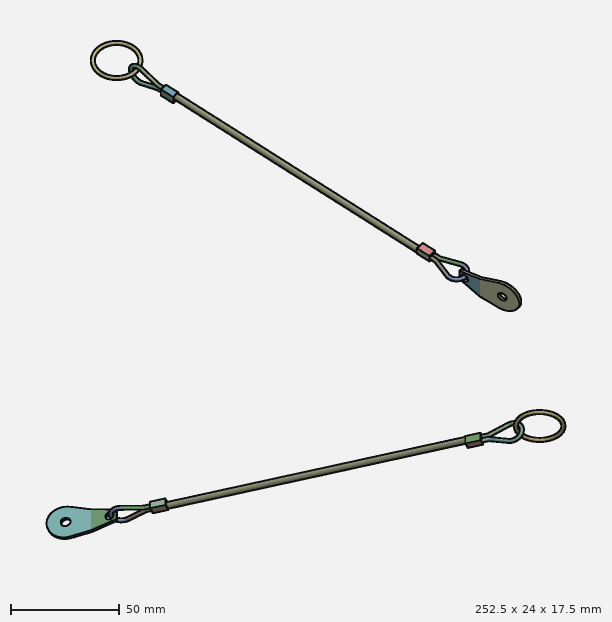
import cadquery as cq
import math


sleeve_length = 147.3
sleeve_diameter = 3.3
ferrule_length = 7.5
ferrule_width = 4.3
ferrule_thickness = 3.8
wire_diameter = 2.0
strand_offset = 1.09
eye_outer_diameter = 11.9
eye_radius = (eye_outer_diameter - wire_diameter) / 2
eye_center_x = 96.0
leg_angle = math.radians(20)
bend_radius = 2.5

ring_diameter = 24.0
ring_wire_diameter = 2.0
ring_overlap = 4.3
ring_left_x = -eye_center_x - eye_outer_diameter / 2 + ring_overlap - ring_diameter

assembly_length = 252.5
tab_start_x = 98.3
tab_bend_x = 110.6
tab_head_width = 17.5
tab_head_radius = tab_head_width / 2
tab_end_x = ring_left_x + assembly_length
tab_head_x = tab_end_x - tab_head_radius
tab_start_width = 5.5
tab_thickness = 1.5
tab_bend_angle = math.radians(12)
tab_hole_diameter = 4.5
tab_eye_hole_diameter = 4.0
tab_eye_hole_x = 101.5
tab_cut_reach = 12.6


def eye_wire():
    """Wire doubled back into a teardrop eye at the -X end, its upper strand at z = 0."""
    sine = math.sin(leg_angle)
    cosine = math.cos(leg_angle)
    leg_drop = eye_radius * cosine - strand_offset - bend_radius * (1 - cosine)
    leg_run = leg_drop / math.tan(leg_angle)

    leg_top = (-eye_center_x + eye_radius * sine, eye_radius * cosine)
    leg_bottom = (leg_top[0] + leg_run, leg_top[1] - leg_drop)
    strand_start = (leg_bottom[0] + bend_radius * sine, strand_offset)
    bend_middle = (
        strand_start[0] - bend_radius * math.sin(leg_angle / 2),
        strand_offset + bend_radius * (1 - math.cos(leg_angle / 2)),
    )
    strand_end = (-sleeve_length / 2, strand_offset)

    def below(point):
        return (point[0], -point[1])

    path = (
        cq.Workplane("XZ", origin=(0, 0, -strand_offset))
        .moveTo(*strand_end)
        .lineTo(*strand_start)
        .threePointArc(bend_middle, leg_bottom)
        .lineTo(*leg_top)
        .threePointArc((-eye_center_x - eye_radius, 0), below(leg_top))
        .lineTo(*below(leg_bottom))
        .threePointArc(below(bend_middle), below(strand_start))
        .lineTo(*below(strand_end))
    )
    return cq.Workplane("YZ", origin=(strand_end[0], 0, 0)).circle(wire_diameter / 2).sweep(path)


def make_upright_end():
    """Ferrule and eye at the -X end of the sleeve."""
    ferrule = cq.Workplane("XY").box(ferrule_length, ferrule_thickness, ferrule_width)
    ferrule_center_x = -(sleeve_length + ferrule_length) / 2
    return ferrule.translate((ferrule_center_x, 0, -strand_offset)).union(eye_wire())


def make_cable():
    """Sleeve with an upright eye at -X and a flat eye at +X."""
    sleeve = (
        cq.Workplane("YZ", origin=(-sleeve_length / 2, 0, 0))
        .circle(sleeve_diameter / 2)
        .extrude(sleeve_length)
    )
    upright_end = make_upright_end()
    flat_end = upright_end.mirror("YZ").rotate((0, 0, 0), (1, 0, 0), 90)
    return sleeve.union(upright_end).union(flat_end)


def make_ring():
    """Flat-lying wire ring, level with the middle of the upright eye."""
    center_radius = (ring_diameter - ring_wire_diameter) / 2
    ring = cq.Solid.makeTorus(center_radius, ring_wire_diameter / 2)
    return cq.Workplane(ring).translate((ring_left_x + ring_diameter / 2, 0, -strand_offset))


def bent_strip():
    """Strip along X, flat at first and then turned towards +Y, as tall as the tab head."""
    half_thickness = tab_thickness / 2
    rise = (tab_end_x - tab_bend_x) * math.tan(tab_bend_angle)
    miter_shift = half_thickness * math.tan(tab_bend_angle / 2)
    end_shift = half_thickness / math.cos(tab_bend_angle)
    return (
        cq.Workplane("XY", origin=(0, strand_offset, 0))
        .moveTo(tab_start_x, -half_thickness)
        .lineTo(tab_bend_x + miter_shift, -half_thickness)
        .lineTo(tab_end_x, rise - end_shift)
        .lineTo(tab_end_x, rise + end_shift)
        .lineTo(tab_bend_x - miter_shift, half_thickness)
        .lineTo(tab_start_x, half_thickness)
        .close()
        .extrude(tab_head_radius, both=True)
    )


def tab_outline():
    """Teardrop prism along Y, its straight sides tangent to the round head."""
    half_start = tab_start_width / 2
    run = tab_head_x - tab_start_x
    side_angle = math.asin(tab_head_radius / math.hypot(run, half_start)) - math.atan2(half_start, run)
    tangent_x = tab_head_x - tab_head_radius * math.sin(side_angle)
    tangent_z = tab_head_radius * math.cos(side_angle)
    return (
        cq.Workplane("XZ")
        .moveTo(tab_start_x, -half_start)
        .lineTo(tangent_x, -tangent_z)
        .threePointArc((tab_end_x, 0), (tangent_x, tangent_z))
        .lineTo(tab_start_x, half_start)
        .close()
        .extrude(tab_cut_reach, both=True)
    )


def tab_hole(center_x, diameter):
    """Round cutter along Y."""
    return cq.Workplane("XZ").center(center_x, 0).circle(diameter / 2).extrude(tab_cut_reach, both=True)


def make_tab():
    """Bent teardrop tab with a fixing hole in the head and a hole for the flat eye."""
    fixing_hole = tab_hole(tab_head_x, tab_hole_diameter)
    eye_hole = tab_hole(tab_eye_hole_x, tab_eye_hole_diameter)
    return bent_strip().intersect(tab_outline()).cut(fixing_hole).cut(eye_hole)


cable = make_cable()
ring = make_ring()
tab = make_tab()

result = cq.Compound.makeCompound([cable.val(), ring.val(), tab.val()])